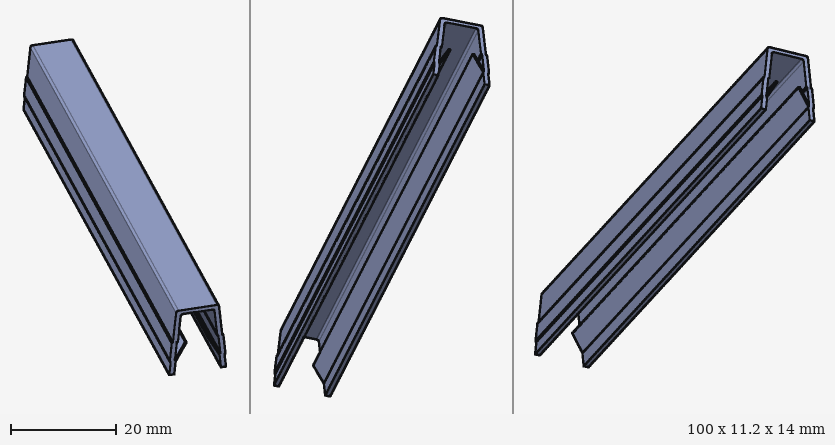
import cadquery as cq
import math

length = 100.0
height = 14.0
bottom_width = 11.2
top_width = 8.4
leg_thickness = 1.0
roof_thickness = 0.9
outer_corner_radius = 0.5
inner_corner_radius = 0.5

band_bottom = 3.0
band_top = 7.0
band_offset = 0.2
band_ramp = 0.2

barb_root_z = 2.9
barb_tip_y = 2.2
barb_tip_z = 6.7
barb_angle = 29.0
barb_thickness = 0.3
barb_embed = 0.4

leg_slope = (bottom_width - top_width) / 2 / height
wall_across = leg_thickness * math.hypot(1, leg_slope)


def outer_y(z):
    """Half width of the plain tapered outside at level z."""
    return bottom_width / 2 - leg_slope * z


def inner_y(z):
    """Half width of the plain tapered cavity at level z."""
    return outer_y(z) - wall_across


def leg_side(half_width, top):
    """Points up one side of the taper, with the jog of the bulging band."""
    ramp_start = band_bottom - band_ramp
    ramp_end = band_top + band_ramp
    return [
        (half_width(0), 0),
        (half_width(ramp_start), ramp_start),
        (half_width(band_bottom) + band_offset, band_bottom),
        (half_width(band_top) + band_offset, band_top),
        (half_width(ramp_end), ramp_end),
        (half_width(top), top),
    ]


def tapered_bar(half_width, top, corner_radius):
    """Solid symmetric bar whose two upper edges are rounded."""
    side = leg_side(half_width, top)
    mirrored = [(-y, z) for y, z in reversed(side)]
    bar = cq.Workplane("YZ").polyline(side + mirrored).close().extrude(length)
    return bar.faces(">Z").edges("|X").fillet(corner_radius)


def barb():
    """Slanted strip on the +Y leg, with square ends."""
    lean_y = -math.sin(math.radians(barb_angle))
    lean_z = math.cos(math.radians(barb_angle))
    strip_length = (barb_tip_z - barb_root_z) / lean_z + barb_embed
    root_y = barb_tip_y - strip_length * lean_y
    root_z = barb_tip_z - strip_length * lean_z
    across_y = barb_thickness * lean_z
    across_z = -barb_thickness * lean_y
    outline = [
        (barb_tip_y, barb_tip_z),
        (root_y, root_z),
        (root_y + across_y, root_z + across_z),
        (barb_tip_y + across_y, barb_tip_z + across_z),
    ]
    return cq.Workplane("YZ").polyline(outline).close().extrude(length)


outside = tapered_bar(outer_y, height, outer_corner_radius)
cavity = tapered_bar(inner_y, height - roof_thickness, inner_corner_radius)
right_barb = barb()
left_barb = right_barb.mirror("XZ")

result = outside.cut(cavity).union(right_barb).union(left_barb)